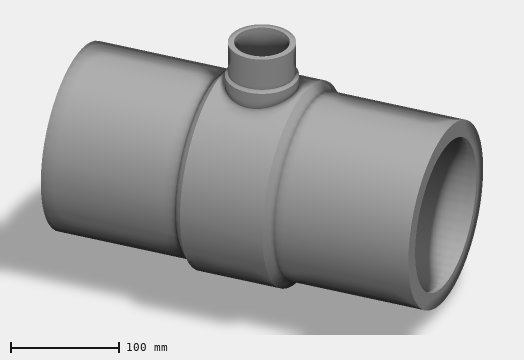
import cadquery as cq

pipe_length = 367
pipe_diameter = 180
bore_diameter = 147.0

collar_diameter = 196.5
collar_length = 98.7
collar_chamfer = (collar_diameter - pipe_diameter) / 2

total_height = 242.2
branch_top = total_height - collar_diameter / 2
branch_diameter = 63.0
branch_bore_diameter = 51.5
socket_diameter = 68.5
socket_top = 111.5
socket_chamfer = (socket_diameter - branch_diameter) / 2


def cylinder_along_x(diameter, length):
    """Cylinder on the pipe axis, centred on the origin."""
    return cq.Workplane("YZ", origin=(-length / 2, 0, 0)).circle(diameter / 2).extrude(length)


def cylinder_up(diameter, top):
    """Cylinder from the pipe axis up to the given height."""
    return cq.Workplane("XY").circle(diameter / 2).extrude(top)


pipe = cylinder_along_x(pipe_diameter, pipe_length)
collar = cylinder_along_x(collar_diameter, collar_length).faces("<X or >X").chamfer(collar_chamfer)
socket = cylinder_up(socket_diameter, socket_top).faces(">Z").chamfer(socket_chamfer)
branch = cylinder_up(branch_diameter, branch_top)

main_bore = cylinder_along_x(bore_diameter, pipe_length)
branch_bore = cylinder_up(branch_bore_diameter, branch_top)

result = pipe.union(collar).union(socket).union(branch).cut(main_bore).cut(branch_bore)